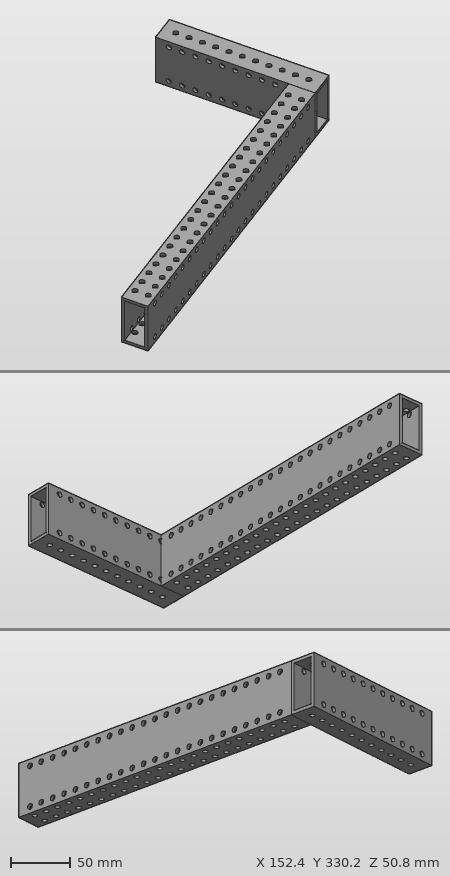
import cadquery as cq

OVERALL_LENGTH = 330.2
PITCHES_OVERALL = 26
PITCH = OVERALL_LENGTH / PITCHES_OVERALL

TUBE_WIDTH_PITCHES = 2
TUBE_HEIGHT_PITCHES = 4
TUBE_WIDTH = TUBE_WIDTH_PITCHES * PITCH
TUBE_HEIGHT = TUBE_HEIGHT_PITCHES * PITCH
WALL = 3.17
HOLE_DIAMETER = 5.0

CROSSBAR_PITCHES = 12
ARM_PITCHES = PITCHES_OVERALL - TUBE_WIDTH_PITCHES
CROSSBAR_LENGTH = CROSSBAR_PITCHES * PITCH
ARM_LENGTH = ARM_PITCHES * PITCH

SIDE_ROWS = [-1.5 * PITCH, 1.5 * PITCH]
CROSSBAR_TOP_ROWS = [0.0]
ARM_TOP_ROWS = [-0.5 * PITCH, 0.5 * PITCH]


def make_tube(length):
    """Open-ended rectangular tube along X, starting at the origin and centred on Y and Z."""
    return (
        cq.Workplane("YZ")
        .rect(TUBE_WIDTH, TUBE_HEIGHT)
        .rect(TUBE_WIDTH - 2 * WALL, TUBE_HEIGHT - 2 * WALL)
        .extrude(length)
    )


def make_drills(plane, depth, pitches, rows):
    """Cylinders normal to the plane, one per whole pitch between the tube ends in every row."""
    centres = [(i * PITCH, row) for i in range(1, pitches) for row in rows]
    return cq.Workplane(plane).pushPoints(centres).circle(HOLE_DIAMETER / 2).extrude(depth / 2, both=True)


def make_perforated_tube(pitches, top_rows):
    """Tube along X with hole rows through both side walls and through the top and bottom walls."""
    tube = make_tube(pitches * PITCH)
    tube = tube.cut(make_drills("XZ", TUBE_WIDTH, pitches, SIDE_ROWS))
    return tube.cut(make_drills("XY", TUBE_HEIGHT, pitches, top_rows))


def make_crossbar():
    """Short leg along X, beyond the end of the arm."""
    tube = make_perforated_tube(CROSSBAR_PITCHES, CROSSBAR_TOP_ROWS)
    return tube.translate((0, ARM_LENGTH + TUBE_WIDTH / 2, 0))


def make_arm():
    """Long leg along Y, flush with the +X end of the crossbar."""
    tube = make_perforated_tube(ARM_PITCHES, ARM_TOP_ROWS)
    tube = tube.rotate((0, 0, 0), (0, 0, 1), 90)
    return tube.translate((CROSSBAR_LENGTH - TUBE_WIDTH / 2, 0, 0))


crossbar = make_crossbar()
arm = make_arm()

result = cq.Compound.makeCompound([crossbar.val(), arm.val()])